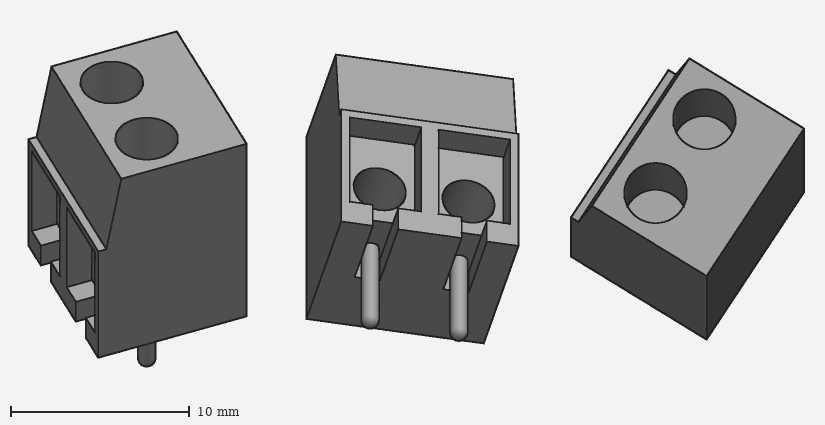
import cadquery as cq

POLES = 2
PITCH = 5.08
TOTAL_HEIGHT = 17.0
HOUSING_DEPTH = 9.0
HOUSING_HEIGHT = 13.0

LEDGE_HEIGHT = 8.0
LEDGE_DEPTH = 0.5
ROOF_SETBACK = 1.4

BLOCK_WIDTH = 4.0
BLOCK_DEPTH = 5.0
BLOCK_BOTTOM = 1.6
BLOCK_TOP = 7.41
WIRE_HOLE_DIAMETER = 3.0
WIRE_HOLE_HEIGHT = 3.9
PIN_DIAMETER = 1.0
TERMINAL_AXIS_Y = 4.0

SIDE_CLEARANCE = 0.05
VERTICAL_CLEARANCE = 0.1
SCREW_HOLE_DIAMETER = 3.5
PIN_SLOT_WIDTH = 1.45

HOUSING_WIDTH = POLES * PITCH
PIN_RADIUS = PIN_DIAMETER / 2
PIN_TIP_Z = HOUSING_HEIGHT - TOTAL_HEIGHT
BLOCK_FRONT_Y = TERMINAL_AXIS_Y - BLOCK_DEPTH / 2
BLOCK_BACK_Y = TERMINAL_AXIS_Y + BLOCK_DEPTH / 2
PIN_SLOT_BACK_Y = TERMINAL_AXIS_Y + PIN_SLOT_WIDTH / 2
CAVITY_WIDTH = BLOCK_WIDTH + 2 * SIDE_CLEARANCE
CAVITY_BOTTOM = BLOCK_BOTTOM - VERTICAL_CLEARANCE
CAVITY_TOP = BLOCK_TOP + VERTICAL_CLEARANCE
POLE_POSITIONS = [(i - (POLES - 1) / 2) * PITCH for i in range(POLES)]


def box_between(x_center, width, y_front, y_back, z_bottom, z_top):
    """Box centred on x_center, given by its Y and Z limits."""
    corner = cq.Vector(x_center - width / 2, y_front, z_bottom)
    return cq.Workplane(cq.Solid.makeBox(width, y_back - y_front, z_top - z_bottom, corner))


def vertical_cylinder(x, radius, z_bottom, z_top):
    """Cylinder along Z on the terminal axis."""
    base = cq.Vector(x, TERMINAL_AXIS_Y, z_bottom)
    return cq.Workplane(cq.Solid.makeCylinder(radius, z_top - z_bottom, base))


def housing_shell():
    """Side profile of the housing, extruded over all poles."""
    profile = [
        (0, 0),
        (HOUSING_DEPTH, 0),
        (HOUSING_DEPTH, HOUSING_HEIGHT),
        (ROOF_SETBACK, HOUSING_HEIGHT),
        (LEDGE_DEPTH, LEDGE_HEIGHT),
        (0, LEDGE_HEIGHT),
    ]
    return cq.Workplane("YZ").polyline(profile).close().extrude(HOUSING_WIDTH / 2, both=True)


def pole_openings(x):
    """Terminal cavity, the pin slot in its floor and the screw hole in its roof."""
    cavity = box_between(x, CAVITY_WIDTH, 0, BLOCK_BACK_Y, CAVITY_BOTTOM, CAVITY_TOP)
    pin_slot = box_between(x, PIN_SLOT_WIDTH, 0, PIN_SLOT_BACK_Y, 0, CAVITY_BOTTOM)
    screw_hole = vertical_cylinder(x, SCREW_HOLE_DIAMETER / 2, CAVITY_TOP, HOUSING_HEIGHT)
    return cavity.union(pin_slot).union(screw_hole)


def make_housing():
    housing = housing_shell()
    for x in POLE_POSITIONS:
        housing = housing.cut(pole_openings(x))
    return housing.solids().val()


def make_terminal(x):
    """Terminal block with a through wire hole and a round-tipped pin below it."""
    block = box_between(x, BLOCK_WIDTH, BLOCK_FRONT_Y, BLOCK_BACK_Y, BLOCK_BOTTOM, BLOCK_TOP)
    wire_hole = cq.Solid.makeCylinder(
        WIRE_HOLE_DIAMETER / 2,
        BLOCK_DEPTH,
        cq.Vector(x, BLOCK_FRONT_Y, WIRE_HOLE_HEIGHT),
        cq.Vector(0, 1, 0),
    )
    tip_center_z = PIN_TIP_Z + PIN_RADIUS
    pin = vertical_cylinder(x, PIN_RADIUS, tip_center_z, BLOCK_BOTTOM)
    tip = cq.Workplane("XY").sphere(PIN_RADIUS).translate((x, TERMINAL_AXIS_Y, tip_center_z))
    terminal = block.cut(cq.Workplane(wire_hole)).union(pin).union(tip)
    return terminal.solids().val()


housing = make_housing()
terminals = [make_terminal(x) for x in POLE_POSITIONS]

result = cq.Compound.makeCompound([housing, *terminals])